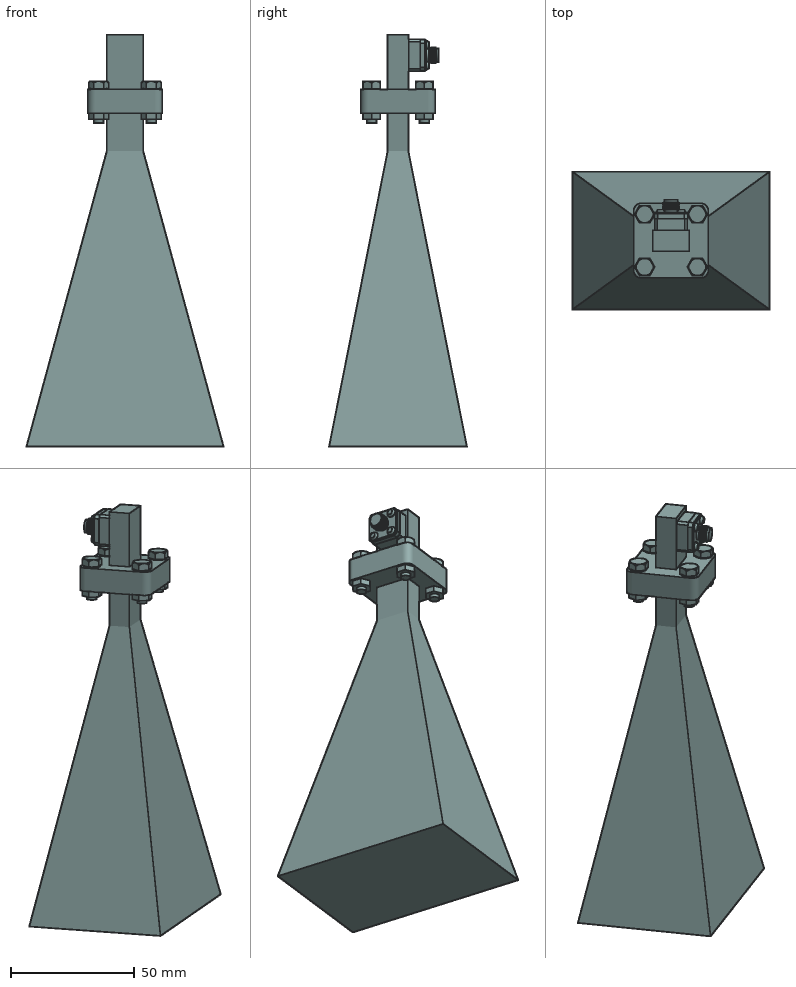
import cadquery as cq
import math

total_height = 167.0

mouth_x = 80.0
mouth_y = 56.0
guide_x = 14.9
guide_y = 8.5
horn_height = 119.7

flange_side = 30.2
flange_bottom = 135.1
flange_top = 144.8
flange_corner_radius = 3.0

bolt_offset = 10.7
hex_across_flats = 7.0
hex_across_corners = hex_across_flats / math.cos(math.pi / 6)
washer_face_height = 0.3
washer_face_diameter = 6.7
head_height = 3.0
head_chamfer_height = 0.7
nut_height = 2.5
shank_diameter = 4.0
shank_end = 131.1

connector_z = 158.6
body_side = 13.0
body_length = 4.7
body_chamfer = 1.0
plate_x = 13.7
plate_z = 12.9
plate_thickness = 2.5
plate_corner_chamfer = 1.5
plate_bevel = 0.5
screw_offset = 4.2
screw_base_diameter = 3.7
screw_top_diameter = 2.3
screw_head_height = 1.2
thread_diameter = 6.5
thread_root_diameter = 5.5
thread_pitch = 0.63
thread_turns = 5
neck_length = 1.0
tip_length = 1.0

guide_wall = guide_y / 2
plate_start = guide_wall + body_length
plate_front = plate_start + plate_thickness


def make_horn():
    """Solid pyramid frustum tapering from the mouth to the waveguide."""
    return (
        cq.Workplane("XY")
        .rect(mouth_x, mouth_y)
        .workplane(offset=horn_height)
        .rect(guide_x, guide_y)
        .loft(ruled=True)
    )


def make_guide():
    """Straight rectangular waveguide from the horn throat to the top."""
    return (
        cq.Workplane("XY", origin=(0, 0, horn_height))
        .rect(guide_x, guide_y)
        .extrude(total_height - horn_height)
    )


def make_flange():
    """Square flange with rounded corners around the waveguide."""
    return (
        cq.Workplane("XY", origin=(0, 0, flange_bottom))
        .rect(flange_side, flange_side)
        .extrude(flange_top - flange_bottom)
        .edges("|Z")
        .fillet(flange_corner_radius)
    )


def make_hex(x, y, bottom, height):
    """Hexagonal prism with two corners on the X direction."""
    return cq.Workplane("XY", origin=(x, y, bottom)).polygon(6, hex_across_corners).extrude(height)


def make_bolt(x, y):
    """Chamfered hex head on a round washer face, nut under the flange and shank end past the nut."""
    head_bottom = flange_top + washer_face_height
    washer_face = (
        cq.Workplane("XY", origin=(x, y, flange_top))
        .circle(washer_face_diameter / 2)
        .extrude(washer_face_height)
    )
    corner_cut = (hex_across_corners - hex_across_flats) / 2
    head_envelope = (
        cq.Workplane("XY", origin=(x, y, head_bottom))
        .circle(hex_across_corners / 2)
        .extrude(head_height)
        .faces(">Z")
        .chamfer(head_chamfer_height, corner_cut)
    )
    head = make_hex(x, y, head_bottom, head_height).intersect(head_envelope)
    nut = make_hex(x, y, flange_bottom - nut_height, nut_height)
    shank = (
        cq.Workplane("XY", origin=(x, y, shank_end))
        .circle(shank_diameter / 2)
        .extrude(flange_top - shank_end)
    )
    return washer_face.union(head).union(nut).union(shank)


def connector_plane(y):
    """Sketch plane on the connector axis at the given Y, facing +Y."""
    return cq.Workplane(cq.Plane(origin=(0, y, connector_z), xDir=(1, 0, 0), normal=(0, 1, 0)))


def make_connector_housing():
    """Chamfered square body, bevelled mounting plate and its four conical screw heads."""
    body = (
        connector_plane(guide_wall)
        .rect(body_side, body_side)
        .extrude(body_length)
        .edges("|Y")
        .chamfer(body_chamfer)
    )
    plate = (
        connector_plane(plate_start)
        .rect(plate_x, plate_z)
        .extrude(plate_thickness)
        .edges("|Y")
        .chamfer(plate_corner_chamfer)
        .faces(">Y")
        .chamfer(plate_bevel)
    )
    screw_slope = (screw_base_diameter - screw_top_diameter) / 2 / screw_head_height
    screw_taper = math.degrees(math.atan(screw_slope))
    screw_heads = (
        connector_plane(plate_front)
        .rect(2 * screw_offset, 2 * screw_offset, forConstruction=True)
        .vertices()
        .circle(screw_base_diameter / 2)
        .extrude(screw_head_height, taper=screw_taper)
    )
    return body.union(plate).union(screw_heads)


def make_connector_barrel():
    """Neck, thread as a row of V-shaped rings, and plain tip, turned about the connector axis."""
    root = thread_root_diameter / 2
    crest = thread_diameter / 2
    thread_start = plate_front + neck_length
    thread_end = thread_start + thread_turns * thread_pitch
    profile = [(0, plate_front), (root, plate_front), (root, thread_start)]
    for turn in range(thread_turns):
        ring_start = thread_start + turn * thread_pitch
        profile.append((crest, ring_start + thread_pitch / 2))
        profile.append((root, ring_start + thread_pitch))
    profile += [(root, thread_end + tip_length), (0, thread_end + tip_length)]
    return (
        cq.Workplane("XY", origin=(0, 0, connector_z))
        .polyline(profile)
        .close()
        .revolve(360, (0, 0, 0), (0, 1, 0))
    )


result = make_horn().union(make_guide()).union(make_flange())
for side_x in (-1, 1):
    for side_y in (-1, 1):
        result = result.union(make_bolt(side_x * bolt_offset, side_y * bolt_offset))
result = result.union(make_connector_housing()).union(make_connector_barrel())